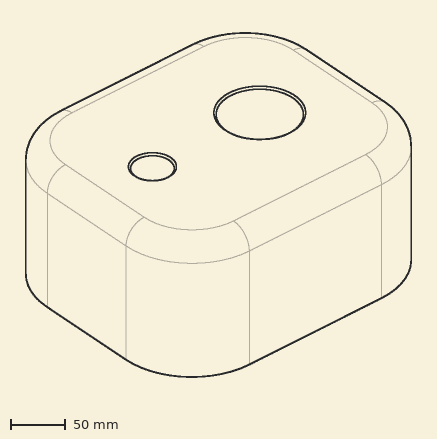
import cadquery as cq

LENGTH_X = 270.0
LENGTH_Y = 320.0
HEIGHT = 150.0
CORNER_RADIUS = 80.0
TOP_FILLET = 22.0

HOLES = [
    (80.0, 50.0),
    (40.0, -80.0),
]
RIM_CHAMFER = 2.0


def rounded_block():
    """Block with round vertical corners and a filleted top edge."""
    block = cq.Workplane("XY").rect(LENGTH_X, LENGTH_Y).extrude(HEIGHT)
    block = block.edges("|Z").fillet(CORNER_RADIUS)
    return block.faces(">Z").edges().fillet(TOP_FILLET)


def hole_cutter(diameter, y):
    """Through hole that widens in a small chamfer at the top face."""
    radius = diameter / 2
    bore = cq.Workplane("XY").center(0, y).circle(radius).extrude(HEIGHT)
    rim = (
        cq.Workplane("XY")
        .workplane(offset=HEIGHT - RIM_CHAMFER)
        .center(0, y)
        .circle(radius)
        .workplane(offset=RIM_CHAMFER)
        .circle(radius + RIM_CHAMFER)
        .loft(ruled=True)
    )
    return bore.union(rim)


result = rounded_block()
for hole_diameter, hole_y in HOLES:
    result = result.cut(hole_cutter(hole_diameter, hole_y))